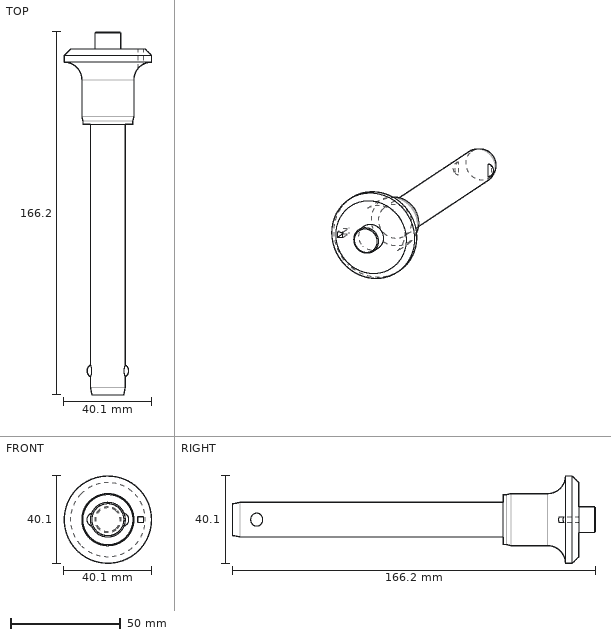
import cadquery as cq
import math

overall_length = 166.2
shank_length = 124.0
shank_radius = 8.0
tip_radius = 7.3
tip_taper_length = 3.5

sleeve_radius = 12.0
sleeve_end_radius = 11.5
sleeve_land_length = 1.5
sleeve_taper_length = 2.0
rim_radius = 20.03
rim_start = 28.5
rim_width = 3.2
rim_chamfer = 3.0
flare_radius = rim_radius - sleeve_radius

button_radius = 6.0
button_chamfer = 0.5

ball_radius = 3.2
ball_protrusion = 1.58
ball_from_tip = 11.1

lanyard_hole_width = 2.5
lanyard_hole_offset = 15.0


def make_turned_body():
    """Revolve the half profile of the shank, handle and button about Y."""
    button_end = overall_length - shank_length
    land_end = sleeve_land_length
    taper_end = land_end + sleeve_taper_length
    flare_start = rim_start - flare_radius
    rim_end = rim_start + rim_width
    handle_end = rim_end + rim_chamfer
    diagonal = math.sqrt(0.5)
    flare_mid = (
        rim_radius - flare_radius * diagonal,
        flare_start + flare_radius * diagonal,
    )
    profile = (
        cq.Workplane("XY")
        .moveTo(0, -shank_length)
        .lineTo(tip_radius, -shank_length)
        .lineTo(shank_radius, -shank_length + tip_taper_length)
        .lineTo(shank_radius, 0)
        .lineTo(sleeve_end_radius, 0)
        .lineTo(sleeve_end_radius, land_end)
        .lineTo(sleeve_radius, taper_end)
        .lineTo(sleeve_radius, flare_start)
        .threePointArc(flare_mid, (rim_radius, rim_start))
        .lineTo(rim_radius, rim_end)
        .lineTo(rim_radius - rim_chamfer, handle_end)
        .lineTo(button_radius, handle_end)
        .lineTo(button_radius, button_end - button_chamfer)
        .lineTo(button_radius - button_chamfer, button_end)
        .lineTo(0, button_end)
        .close()
    )
    return profile.revolve(360, (0, 0, 0), (0, 1, 0))


def make_ball(side):
    """One locking ball, partly sunk in the shank on the given X side."""
    center_x = shank_radius + ball_protrusion - ball_radius
    center_y = ball_from_tip - shank_length
    return cq.Workplane("XY").sphere(ball_radius).translate((side * center_x, center_y, 0))


def make_lanyard_hole():
    """Square cutter parallel to the pin axis, longer than the whole pin."""
    return (
        cq.Workplane("XY")
        .box(lanyard_hole_width, 2 * overall_length, lanyard_hole_width)
        .translate((lanyard_hole_offset, 0, 0))
    )


result = make_turned_body()
for side in (-1, 1):
    result = result.union(make_ball(side))
result = result.cut(make_lanyard_hole())